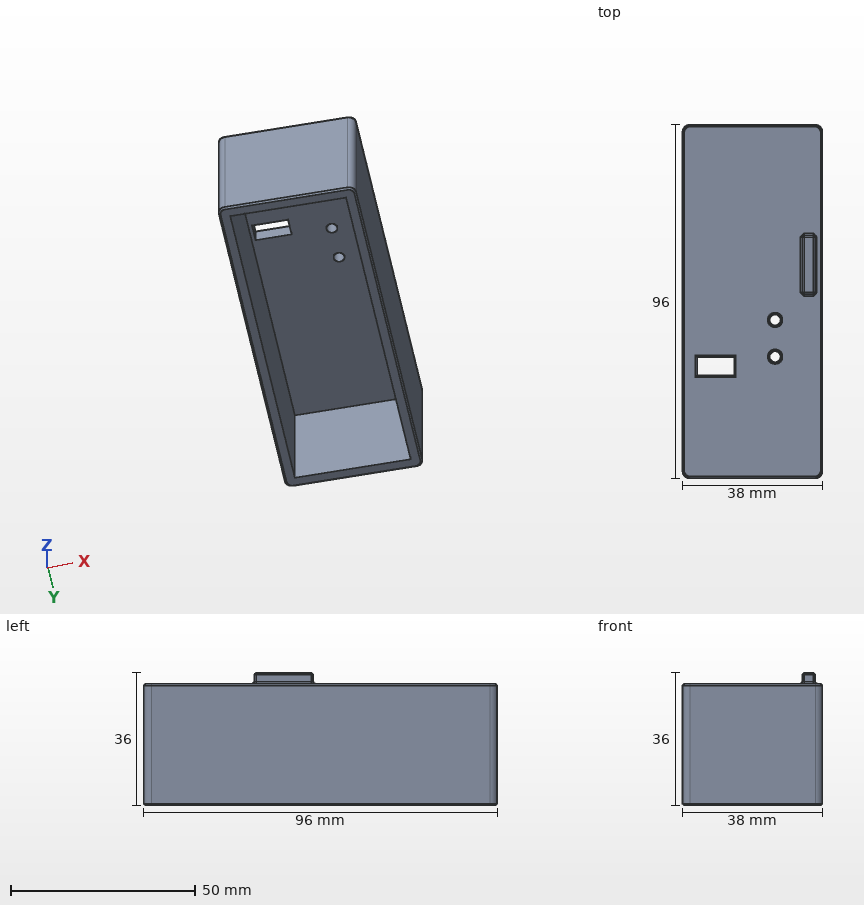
import cadquery as cq

LENGTH = 96.0
WIDTH = 38.0
TOTAL_HEIGHT = 36.0
RIB_HEIGHT = 3.0
BODY_HEIGHT = TOTAL_HEIGHT - RIB_HEIGHT
CORNER_RADIUS = 2.0
WALL = 3.0
TOP_THICKNESS = 4.5
BEVEL = 0.5

RIB_WIDTH = 3.5
RIB_LENGTH = 16.0
RIB_CENTER = (15.3, 10.0)

HOLE_DIAMETER = 3.0
HOLE_X = 6.1
FIRST_HOLE_Y = -5.0
HOLE_SPACING = 10.0
HOLE_COUNT = 2

WINDOW_WIDTH = 10.0
WINDOW_LENGTH = 5.0
WINDOW_CENTER = (-10.0, -17.6)


def make_shell():
    outside = cq.Workplane("XY").box(WIDTH, LENGTH, BODY_HEIGHT, centered=(True, True, False))
    outside = outside.edges("|Z").fillet(CORNER_RADIUS)
    outside = outside.faces("<Z or >Z").edges().chamfer(BEVEL)
    cavity = cq.Workplane("XY").box(
        WIDTH - 2 * WALL,
        LENGTH - 2 * WALL,
        BODY_HEIGHT - TOP_THICKNESS,
        centered=(True, True, False),
    )
    return outside.cut(cavity)


def octagon(z, offset):
    """Rectangle between the rib bevels, with its four sides moved out by offset."""
    flat_x = RIB_WIDTH / 2 - BEVEL
    flat_y = RIB_LENGTH / 2 - BEVEL
    side_x = flat_x + offset
    side_y = flat_y + offset
    corners = [
        (side_x, -flat_y), (side_x, flat_y),
        (flat_x, side_y), (-flat_x, side_y),
        (-side_x, flat_y), (-side_x, -flat_y),
        (-flat_x, -side_y), (flat_x, -side_y),
    ]
    return cq.Workplane("XY", origin=(*RIB_CENTER, z)).polyline(corners).close()


def make_rib():
    block = (
        cq.Workplane("XY", origin=(*RIB_CENTER, BODY_HEIGHT))
        .box(RIB_WIDTH, RIB_LENGTH, RIB_HEIGHT, centered=(True, True, False))
        .edges("|Z or >Z")
        .chamfer(BEVEL)
    )
    wide_outline = octagon(BODY_HEIGHT, 2 * BEVEL).wire().val()
    narrow_outline = octagon(BODY_HEIGHT + BEVEL, BEVEL).wire().val()
    foot = cq.Solid.makeLoft([wide_outline, narrow_outline], True)
    return block.union(cq.Workplane(foot))


def make_opening(outline, center):
    """Cutter through the top, widened by one bevel at the upper rim."""
    top_plane = cq.Workplane("XY", origin=(*center, BODY_HEIGHT))
    low_plane = cq.Workplane("XY", origin=(*center, BODY_HEIGHT - BEVEL))
    shaft = outline(top_plane, 0).extrude(-TOP_THICKNESS)
    rim_outlines = [
        outline(low_plane, 0).wire().val(),
        outline(top_plane, BEVEL).wire().val(),
    ]
    rim = cq.Solid.makeLoft(rim_outlines, True)
    return shaft.union(cq.Workplane(rim))


def hole_outline(plane, offset):
    return plane.circle(HOLE_DIAMETER / 2 + offset)


def window_outline(plane, offset):
    return plane.rect(WINDOW_WIDTH + 2 * offset, WINDOW_LENGTH + 2 * offset)


result = make_shell().union(make_rib())
for index in range(HOLE_COUNT):
    hole_center = (HOLE_X, FIRST_HOLE_Y - index * HOLE_SPACING)
    result = result.cut(make_opening(hole_outline, hole_center))
result = result.cut(make_opening(window_outline, WINDOW_CENTER))